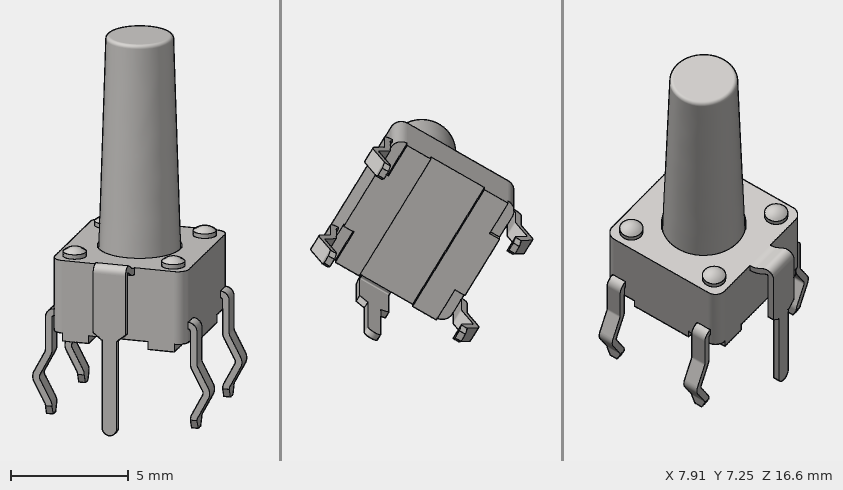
import cadquery as cq
import math

SHEET = 0.3
EMBED = 0.17

BODY_SIZE = 6.0
BODY_HEIGHT = 3.6
BODY_CORNER_RADIUS = 0.5
BODY_HALF = BODY_SIZE / 2

RECESS_HEIGHT = 0.35
CHANNEL_WIDTH = 2.64
SIDE_PAD_WIDTH = 2.89
CORNER_RECESS_DEPTH = BODY_CORNER_RADIUS
CORNER_RECESS_LENGTH = (BODY_SIZE - SIDE_PAD_WIDTH) / 2

COVER_THICKNESS = SHEET
CLEARANCE_DIAMETER = 3.6
CLEARANCE_FLOOR_Z = BODY_HEIGHT - COVER_THICKNESS
TOTAL_HEIGHT = 16.6
PLUNGER_TOP = 13.0
PLUNGER_BASE_DIAMETER = 3.5
PLUNGER_TOP_DIAMETER = 2.89
PLUNGER_EDGE_RADIUS = 0.17

RIVET_DIAMETER = 1.0
RIVET_SPACING = 4.4
RIVET_RIM_HEIGHT = 0.2
RIVET_HEIGHT = 0.4

LEG_WIDTH = 0.7
LEG_SPACING = 4.5
LEG_TIP_WIDTH = 0.37
LEG_SHOULDER_Z = 1.26
LEG_BOTTOM_Z = -3.5
LEG_TIP_LENGTH = 0.4
LEG_SHOULDER_BEND = 0.1
LEG_KINK_BEND = 0.2
LEG_FACE_X = 3.39
LEG_KINK_X = 4.02
LEG_KINK_Z = -1.85
LEG_KINK_HALF_HEIGHT = 1.2

PIN_FACE_Y = 4.25
PIN_CREST_Z = 3.95
PIN_RISE_ANGLE = 30.0
PIN_RISE_BEND = 0.7
PIN_FOLD_BEND = 0.05
PIN_BOTTOM_Z = PLUNGER_TOP - TOTAL_HEIGHT
PIN_WIDE = 1.45
PIN_NARROW = 0.65
PIN_TAPER_TOP_Z = 0.95
PIN_TAPER_BOTTOM_Z = 0.63


def bent_strip(face, inner_radii, width):
    """Sheet strip centred on the XZ plane; `face` lists its outer-face corners, the metal lies to
    the right of the direction of travel, and each corner has an inside bend radius."""
    headings = [math.atan2(b[1] - a[1], b[0] - a[0]) for a, b in zip(face, face[1:])]

    def side(offset):
        """Straight ends and (start, middle, end) bend arcs of the face moved `offset` into the metal."""
        def shift(point, heading):
            return (point[0] + offset * math.sin(heading), point[1] - offset * math.cos(heading))

        bends = []
        for corner, before, after, inner in zip(face[1:], headings, headings[1:], inner_radii):
            turn = after - before
            right_turn = turn < 0
            face_radius = inner + SHEET if right_turn else inner
            radius = face_radius - offset if right_turn else face_radius + offset
            to_centre = -1 if right_turn else 1
            bisector = (before + after) / 2
            reach = to_centre * face_radius / math.cos(turn / 2)
            centre = (corner[0] - reach * math.sin(bisector), corner[1] + reach * math.cos(bisector))
            bends.append([
                (centre[0] + to_centre * radius * math.sin(h), centre[1] - to_centre * radius * math.cos(h))
                for h in (before, bisector, after)
            ])
        return shift(face[0], headings[0]), bends, shift(face[-1], headings[-1])

    start, outer_bends, end = side(0)
    inner_start, inner_bends, inner_end = side(SHEET)
    outline = cq.Workplane("XZ").moveTo(*start)
    for first, middle, last in outer_bends:
        outline = outline.lineTo(*first).threePointArc(middle, last)
    outline = outline.lineTo(*end).lineTo(*inner_end)
    for first, middle, last in reversed(inner_bends):
        outline = outline.lineTo(*last).threePointArc(middle, first)
    return outline.lineTo(*inner_start).close().extrude(width / 2, both=True)


def make_body():
    body = cq.Workplane("XY").rect(BODY_SIZE, BODY_SIZE).extrude(BODY_HEIGHT)
    body = body.edges("|Z").fillet(BODY_CORNER_RADIUS)
    channel = cq.Workplane("XY").rect(CHANNEL_WIDTH, BODY_SIZE).extrude(RECESS_HEIGHT)
    corner_x = BODY_SIZE - CORNER_RECESS_DEPTH
    corner_y = BODY_SIZE - CORNER_RECESS_LENGTH
    corner_recesses = (
        cq.Workplane("XY")
        .rect(corner_x, corner_y, forConstruction=True)
        .vertices()
        .rect(CORNER_RECESS_DEPTH, CORNER_RECESS_LENGTH)
        .extrude(RECESS_HEIGHT)
    )
    clearance = (
        cq.Workplane("XY", origin=(0, 0, CLEARANCE_FLOOR_Z))
        .circle(CLEARANCE_DIAMETER / 2)
        .extrude(COVER_THICKNESS)
    )
    return body.cut(channel).cut(corner_recesses).cut(clearance)


def make_plunger():
    plunger = (
        cq.Workplane("XY", origin=(0, 0, CLEARANCE_FLOOR_Z))
        .circle(PLUNGER_BASE_DIAMETER / 2)
        .workplane(offset=PLUNGER_TOP - CLEARANCE_FLOOR_Z)
        .circle(PLUNGER_TOP_DIAMETER / 2)
        .loft()
    )
    return plunger.faces(">Z").edges().fillet(PLUNGER_EDGE_RADIUS)


def make_rivets():
    radius = RIVET_DIAMETER / 2
    dome_height = RIVET_HEIGHT - RIVET_RIM_HEIGHT
    dome_radius = (radius**2 + dome_height**2) / (2 * dome_height)
    half_angle = math.asin(radius / dome_radius) / 2
    dome_middle = (
        dome_radius * math.sin(half_angle),
        RIVET_HEIGHT - dome_radius * (1 - math.cos(half_angle)),
    )
    rivet = (
        cq.Workplane("XZ")
        .lineTo(radius, 0)
        .lineTo(radius, RIVET_RIM_HEIGHT)
        .threePointArc(dome_middle, (0, RIVET_HEIGHT))
        .close()
        .revolve(360, (0, 0), (0, 1))
        .val()
    )
    return (
        cq.Workplane("XY", origin=(0, 0, BODY_HEIGHT))
        .rarray(RIVET_SPACING, RIVET_SPACING, 2, 2)
        .eachpoint(lambda place: rivet.moved(place), combine=False)
    )


def make_leg():
    """Leg on the +X side, centred on Y = 0, with a tapered tip."""
    face = [
        (BODY_HALF - EMBED, LEG_SHOULDER_Z),
        (LEG_FACE_X, LEG_SHOULDER_Z),
        (LEG_FACE_X, LEG_KINK_Z + LEG_KINK_HALF_HEIGHT),
        (LEG_KINK_X, LEG_KINK_Z),
        (LEG_FACE_X, LEG_KINK_Z - LEG_KINK_HALF_HEIGHT),
        (LEG_FACE_X, LEG_BOTTOM_Z),
    ]
    leg = bent_strip(face, [LEG_SHOULDER_BEND, LEG_KINK_BEND, LEG_KINK_BEND, LEG_KINK_BEND], LEG_WIDTH)
    half = LEG_WIDTH / 2
    tip_half = LEG_TIP_WIDTH / 2
    taper_z = LEG_BOTTOM_Z + LEG_TIP_LENGTH
    silhouette = (
        cq.Workplane("YZ")
        .polyline([
            (-half, LEG_SHOULDER_Z),
            (half, LEG_SHOULDER_Z),
            (half, taper_z),
            (tip_half, LEG_BOTTOM_Z),
            (-tip_half, LEG_BOTTOM_Z),
            (-half, taper_z),
        ])
        .close()
        .extrude(LEG_KINK_X)
    )
    return leg.intersect(silhouette)


def make_ground_pin():
    """Pin that rises out of the housing wall, folds over and runs down to a round tip."""
    rise = math.radians(PIN_RISE_ANGLE)
    fold_radius = PIN_FOLD_BEND + SHEET
    fold_z = PIN_CREST_Z - fold_radius
    peak_z = fold_z + fold_radius * (1 / math.cos(rise) + math.tan(rise))
    rise_start_y = PIN_FACE_Y - (peak_z - BODY_HEIGHT) / math.tan(rise)
    face = [
        (BODY_HALF - EMBED, BODY_HEIGHT),
        (rise_start_y, BODY_HEIGHT),
        (PIN_FACE_Y, peak_z),
        (PIN_FACE_Y, PIN_BOTTOM_Z),
    ]
    strip = bent_strip(face, [PIN_RISE_BEND, PIN_FOLD_BEND], PIN_WIDE)
    strip = strip.rotate((0, 0, 0), (0, 0, 1), -90)
    wide = PIN_WIDE / 2
    narrow = PIN_NARROW / 2
    silhouette = (
        cq.Workplane("XZ")
        .moveTo(-wide, PIN_CREST_Z)
        .lineTo(wide, PIN_CREST_Z)
        .lineTo(wide, PIN_TAPER_TOP_Z)
        .lineTo(narrow, PIN_TAPER_BOTTOM_Z)
        .lineTo(narrow, PIN_BOTTOM_Z + narrow)
        .threePointArc((0, PIN_BOTTOM_Z), (-narrow, PIN_BOTTOM_Z + narrow))
        .lineTo(-narrow, PIN_TAPER_BOTTOM_Z)
        .lineTo(-wide, PIN_TAPER_TOP_Z)
        .close()
        .extrude(PIN_FACE_Y)
    )
    return strip.intersect(silhouette)


result = make_body().union(make_plunger()).union(make_rivets()).union(make_ground_pin())
leg = make_leg()
for y in (-LEG_SPACING / 2, LEG_SPACING / 2):
    right_leg = leg.translate((0, y, 0))
    result = result.union(right_leg).union(right_leg.mirror("YZ"))